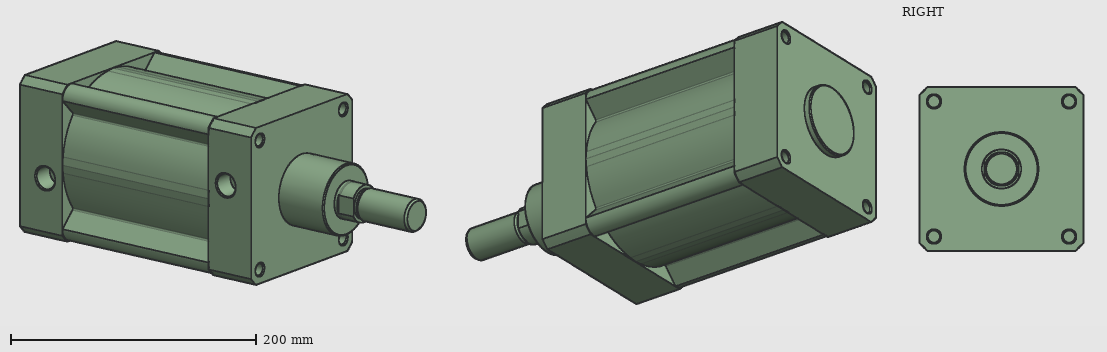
import cadquery as cq
import math

total_length = 365.0
spigot_length = 6.0
cap_length = 44.0
barrel_length = 151.5
boss_length = 46.5

cap_width = 134.0
cap_corner_diameter = 180.3
boss_diameter = 60.5
boss_chamfer = 1.0
mount_hole_offset = 55.0
mount_hole_diameter = 10.0
mount_hole_chamfer = 1.0
mount_hole_depth = 18.2
port_diameter = 19.0
port_chamfer = 1.0
port_depth = 18.2
port_inset = 26.3
port_offset = 14.5

barrel_radius = 66.5
tip_center_offset = mount_hole_offset
tip_radius = 11.5
web_thickness = 17.0
web_fillet = 1.5
ridge_half_width = 7.0
ridge_top = 66.8
lobe_angles = (45, 135, 225, 315)
ridge_angles = (0, 90, 180, 270)

rod_radius = 16.0
collar_length = 3.0
neck_step = 0.2
neck_cone_length = 1.0
wrench_length = 15.5
wrench_width = 27.7
thread_radius = 14.0
relief_radius = 12.8
relief_length = 2.2
relief_cone_length = 2.2
tip_chamfer_radial = 1.5
tip_chamfer_length = 2.2

rear_face = spigot_length
barrel_start = rear_face + cap_length
barrel_end = barrel_start + barrel_length
front_face = barrel_end + cap_length
boss_end = front_face + boss_length
corner_signs = [(1, 1), (-1, 1), (-1, -1), (1, -1)]


def x_cylinder(start, length, diameter):
    """Cylinder centred on the X axis that begins at X = start."""
    return cq.Workplane("YZ", origin=(start, 0, 0)).circle(diameter / 2).extrude(length)


def hole_cutter(point, direction, diameter, depth, chamfer):
    """Blind hole with a 45 degree chamfer at its mouth, as a solid to subtract."""
    origin = cq.Vector(*point)
    axis = cq.Vector(*direction)
    radius = diameter / 2
    bore = cq.Solid.makeCylinder(radius, depth, origin, axis)
    mouth = cq.Solid.makeCone(radius + chamfer, radius, chamfer, origin, axis)
    return cq.Workplane(obj=bore).union(cq.Workplane(obj=mouth))


def make_cap(block_start, outer_face, inward, boss, port_z):
    """End cap: turned-corner square block, round boss, four mounting holes and one port."""
    block = cq.Workplane("YZ", origin=(block_start, 0, 0)).rect(cap_width, cap_width).extrude(cap_length)
    cap = block.intersect(x_cylinder(block_start, cap_length, cap_corner_diameter)).union(boss)
    for y_sign, z_sign in corner_signs:
        mouth = (outer_face, y_sign * mount_hole_offset, z_sign * mount_hole_offset)
        hole = hole_cutter(mouth, (inward, 0, 0), mount_hole_diameter, mount_hole_depth, mount_hole_chamfer)
        cap = cap.cut(hole)
    port_mouth = (outer_face + inward * port_inset, -cap_width / 2, port_z)
    port = hole_cutter(port_mouth, (0, 1, 0), port_diameter, port_depth, port_chamfer)
    return cap.cut(port)


def make_rear_cap():
    """Rear cap with a short centring spigot."""
    spigot = x_cylinder(0, spigot_length, boss_diameter).faces("<X").chamfer(boss_chamfer)
    return make_cap(rear_face, rear_face, 1, spigot, -port_offset)


def make_front_cap():
    """Front cap with a long boss, bored through for the rod."""
    boss = x_cylinder(front_face, boss_length, boss_diameter).faces(">X").chamfer(boss_chamfer)
    cap = make_cap(barrel_end, front_face, -1, boss, port_offset)
    rod_bore = x_cylinder(barrel_end, cap_length + boss_length, 2 * rod_radius)
    return cap.cut(rod_bore)


def corner_lobe(angle):
    """Flat-sided web with a rounded tip that stands out from the axis at the given angle."""
    tip_center = tip_center_offset * math.sqrt(2)
    half_web = web_thickness / 2
    web_end = tip_center + math.sqrt(tip_radius**2 - half_web**2)
    return (
        cq.Workplane("YZ", origin=(barrel_start, 0, 0))
        .moveTo(0, -half_web)
        .lineTo(web_end, -half_web)
        .threePointArc((tip_center + tip_radius, 0), (web_end, half_web))
        .lineTo(0, half_web)
        .close()
        .extrude(barrel_length)
        .rotate((0, 0, 0), (1, 0, 0), angle)
    )


def side_ridge(angle):
    """Shallow two-sided ridge along the middle of one barrel side."""
    ridge_foot = math.sqrt(barrel_radius**2 - ridge_half_width**2)
    return (
        cq.Workplane("YZ", origin=(barrel_start, 0, 0))
        .polyline([(0, 0), (ridge_foot, -ridge_half_width), (ridge_top, 0), (ridge_foot, ridge_half_width)])
        .close()
        .extrude(barrel_length)
        .rotate((0, 0, 0), (1, 0, 0), angle)
    )


def web_root_edge(angle):
    """Selector for the edge where a web side meets the round skin at the given angle."""
    middle = (barrel_start + barrel_end) / 2
    y = barrel_radius * math.cos(math.radians(angle))
    z = barrel_radius * math.sin(math.radians(angle))
    return cq.selectors.NearestToPointSelector((middle, y, z))


def make_barrel():
    """Solid round barrel with four corner lobes and four side ridges."""
    barrel = x_cylinder(barrel_start, barrel_length, 2 * barrel_radius)
    for angle in lobe_angles:
        barrel = barrel.union(corner_lobe(angle))
    half_web_angle = math.degrees(math.asin(web_thickness / 2 / barrel_radius))
    for angle in lobe_angles:
        for root_angle in (angle - half_web_angle, angle + half_web_angle):
            barrel = barrel.edges(web_root_edge(root_angle)).fillet(web_fillet)
    for angle in ridge_angles:
        barrel = barrel.union(side_ridge(angle))
    return barrel


def make_rod():
    """Rod turned from one profile: plain shank, wrench section, relief and threaded end."""
    collar_end = boss_end + collar_length
    neck_start = collar_end + neck_cone_length
    wrench_end = collar_end + wrench_length
    relief_end = wrench_end + relief_length
    thread_start = relief_end + relief_cone_length
    profile = [
        (barrel_end, 0),
        (barrel_end, rod_radius),
        (collar_end, rod_radius),
        (neck_start, rod_radius - neck_step),
        (wrench_end, rod_radius - neck_step),
        (wrench_end, relief_radius),
        (relief_end, relief_radius),
        (thread_start, thread_radius),
        (total_length - tip_chamfer_length, thread_radius),
        (total_length, thread_radius - tip_chamfer_radial),
        (total_length, 0),
    ]
    rod = cq.Workplane("XY").polyline(profile).close().revolve(360, (0, 0, 0), (1, 0, 0))
    flat_middle = (collar_end + wrench_end) / 2
    for side in (1, -1):
        flat_cutter = cq.Workplane("XY").box(wrench_length, rod_radius, 2 * rod_radius)
        rod = rod.cut(flat_cutter.translate((flat_middle, side * (wrench_width + rod_radius) / 2, 0)))
    return rod


rear_cap = make_rear_cap()
front_cap = make_front_cap()
barrel = make_barrel()
rod = make_rod()
result = cq.Compound.makeCompound([rear_cap.val(), barrel.val(), front_cap.val(), rod.val()])